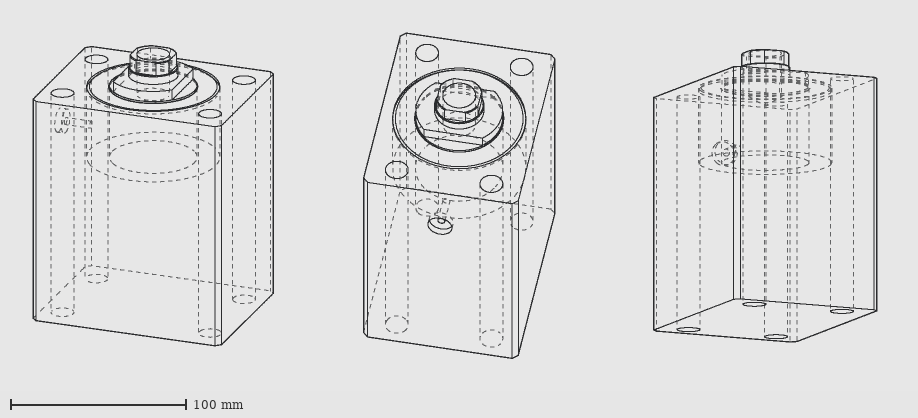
import cadquery as cq
import math

BLOCK_LENGTH = 115.0
BLOCK_WIDTH = 90.0
BLOCK_HEIGHT = 134.9
CORNER_CHAMFER = 3.0
BOLT_HOLE_DIAMETER = 13.0
BOLT_SPACING_X = 90.0
BOLT_SPACING_Y = 55.0

PORT_DIAMETER = 14.0
PORT_DEPTH = 4.0
PORT_BELOW_TOP = 28.8
OIL_HOLE_DIAMETER = 4.0

GLAND_DIAMETER = 76.0
GLAND_DEPTH = 43.4
GLAND_EDGE_CHAMFER = 1.5
BORE_EDGE_CHAMFER = 0.5

SHAFT_DIAMETER = 50.0
SHAFT_PROJECTION = 0.8
FLATS_DIAMETER = 49.5
FLATS_ACROSS = 36.0
FLATS_HEIGHT = 6.2
SHOULDER_DIAMETER = 28.2
SHOULDER_HEIGHT = 5.1
SHOULDER_CHAMFER = 0.5
TOTAL_HEIGHT = 154.9
STUD_ACROSS = 24.0
STUD_CORNER_DIAMETER = 27.0
STUD_CHAMFER = 0.5
ROD_HOLE_DIAMETER = 18.7
ROD_HOLE_DEPTH = 24.8
DRILL_TIP_ANGLE = 118.0

GLAND_BOTTOM_Z = BLOCK_HEIGHT - GLAND_DEPTH
FLATS_BOTTOM_Z = BLOCK_HEIGHT + SHAFT_PROJECTION
SHOULDER_Z = FLATS_BOTTOM_Z + FLATS_HEIGHT
STUD_Z = SHOULDER_Z + SHOULDER_HEIGHT


def cylinder(diameter, bottom_z, top_z):
    """Upright cylinder on the Z axis."""
    return cq.Workplane("XY").workplane(offset=bottom_z).circle(diameter / 2).extrude(top_z - bottom_z)


def side_hole(diameter, depth):
    """Cutter for a hole drilled along +X into the -X side of the block."""
    start = cq.Vector(-BLOCK_LENGTH / 2, 0, BLOCK_HEIGHT - PORT_BELOW_TOP)
    return cq.Workplane(cq.Solid.makeCylinder(diameter / 2, depth, start, cq.Vector(1, 0, 0)))


def make_housing():
    block = cq.Workplane("XY").box(BLOCK_LENGTH, BLOCK_WIDTH, BLOCK_HEIGHT, centered=(True, True, False))
    block = block.edges("|Z").chamfer(CORNER_CHAMFER)
    block = (
        block.faces(">Z")
        .workplane(origin=(0, 0, BLOCK_HEIGHT))
        .rect(BOLT_SPACING_X, BOLT_SPACING_Y, forConstruction=True)
        .vertices()
        .hole(BOLT_HOLE_DIAMETER)
    )
    block = block.cut(cylinder(GLAND_DIAMETER, GLAND_BOTTOM_Z, BLOCK_HEIGHT))
    block = block.cut(side_hole(PORT_DIAMETER, PORT_DEPTH))
    return block.cut(side_hole(OIL_HOLE_DIAMETER, BLOCK_LENGTH / 2))


def make_gland():
    gland = cylinder(GLAND_DIAMETER, GLAND_BOTTOM_Z, BLOCK_HEIGHT)
    gland = gland.faces(">Z").edges().chamfer(GLAND_EDGE_CHAMFER)
    gland = gland.cut(cylinder(SHAFT_DIAMETER, GLAND_BOTTOM_Z, BLOCK_HEIGHT))
    bore_edge = gland.faces(">Z").edges(cq.selectors.RadiusNthSelector(0))
    return bore_edge.chamfer(BORE_EDGE_CHAMFER)


def make_rod_hole():
    """Cutter for the blind drilled hole with its conical bottom."""
    radius = ROD_HOLE_DIAMETER / 2
    tip_length = radius / math.tan(math.radians(DRILL_TIP_ANGLE / 2))
    wall_bottom_z = TOTAL_HEIGHT - ROD_HOLE_DEPTH
    return (
        cq.Workplane("XZ")
        .moveTo(0, TOTAL_HEIGHT)
        .lineTo(radius, TOTAL_HEIGHT)
        .lineTo(radius, wall_bottom_z)
        .lineTo(0, wall_bottom_z - tip_length)
        .close()
        .revolve(360, (0, 0), (0, 1))
    )


def make_rod():
    shaft = cylinder(SHAFT_DIAMETER, GLAND_BOTTOM_Z, FLATS_BOTTOM_Z)
    flats_limit = (
        cq.Workplane("XY").workplane(offset=FLATS_BOTTOM_Z).rect(FLATS_ACROSS, FLATS_DIAMETER).extrude(FLATS_HEIGHT)
    )
    flats = cylinder(FLATS_DIAMETER, FLATS_BOTTOM_Z, SHOULDER_Z).intersect(flats_limit)
    shoulder = cylinder(SHOULDER_DIAMETER, SHOULDER_Z, STUD_Z).faces(">Z").edges().chamfer(SHOULDER_CHAMFER)
    stud_limit = (
        cq.Workplane("XY").workplane(offset=STUD_Z).rect(STUD_ACROSS, STUD_ACROSS).extrude(TOTAL_HEIGHT - STUD_Z)
    )
    stud = cylinder(STUD_CORNER_DIAMETER, STUD_Z, TOTAL_HEIGHT).faces(">Z").edges().chamfer(STUD_CHAMFER)
    stud = stud.intersect(stud_limit)
    return shaft.union(flats).union(shoulder).union(stud).cut(make_rod_hole())


housing = make_housing()
gland = make_gland()
rod = make_rod()

result = cq.Compound.makeCompound([housing.val(), gland.val(), rod.val()])